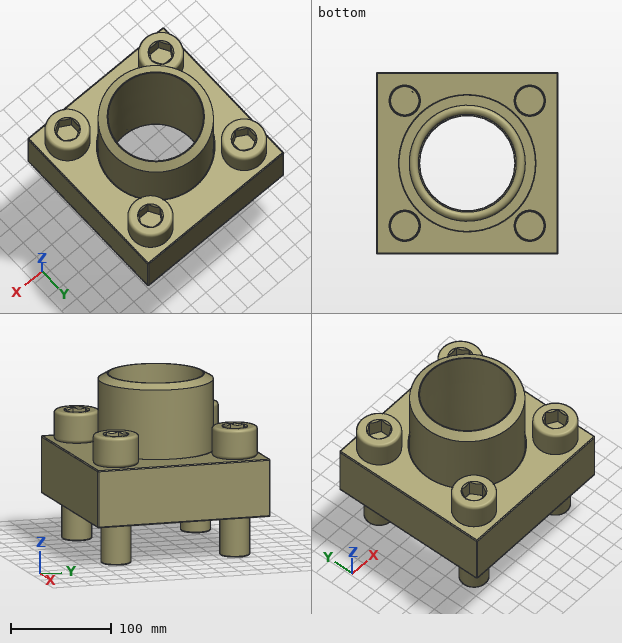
import cadquery as cq
import math

flange_side = 180.0
flange_height = 58.0
edge_chamfer = 1.0

pipe_diameter = 114.3
pipe_rise = 75.0
pipe_bore = 94.3
straight_bore_depth = 37.5
lower_bore_diameter = 94.5
bevel_height = 5.2
bevel_width = 9.0
collar_diameter = 135.0
collar_projection = 1.5
collar_top = 28.8

ring_middle_diameter = 106.0
ring_thickness = 9.0
ring_projection = 2.0

neck_hole_diameter = 115.5
counterbore_diameter = 136.0
screw_hole_diameter = 31.0

screw_count = 4
screw_offset = 62.0
shank_diameter = 30.0
shank_length = 99.9
head_diameter = 45.0
head_height = 30.0
head_fillet = 3.0
socket_diameter = 25.4
socket_depth = 18.0

pipe_top = flange_height + pipe_rise
collar_bottom = -collar_projection
groove_depth = ring_thickness - ring_projection
socket_flat_radius = socket_diameter / 2 * math.cos(math.pi / 6)
countersink_depth = socket_diameter / 2 - socket_flat_radius


def cylinder(diameter, bottom, top):
    return cq.Workplane("XY", origin=(0, 0, bottom)).circle(diameter / 2).extrude(top - bottom)


def cone(bottom_radius, top_radius, bottom, top):
    return cq.Workplane(cq.Solid.makeCone(bottom_radius, top_radius, top - bottom, pnt=(0, 0, bottom)))


def make_flange():
    block = cq.Workplane("XY").box(flange_side, flange_side, flange_height, centered=(True, True, False))
    block = block.edges().chamfer(edge_chamfer)

    neck_radius = neck_hole_diameter / 2
    neck_hole = cylinder(neck_hole_diameter, 0, flange_height)
    counterbore = cylinder(counterbore_diameter, 0, collar_top)
    hole_chamfer = cone(neck_radius, neck_radius + edge_chamfer, flange_height - edge_chamfer, flange_height)

    screw_holes = (
        cq.Workplane("XY")
        .rect(2 * screw_offset, 2 * screw_offset, forConstruction=True)
        .vertices()
        .circle(screw_hole_diameter / 2)
        .extrude(flange_height)
    )
    return block.cut(neck_hole).cut(counterbore).cut(hole_chamfer).cut(screw_holes)


def make_pipe():
    outer_radius = pipe_diameter / 2
    bore_radius = pipe_bore / 2
    collar_radius = collar_diameter / 2
    half_section = [
        (lower_bore_diameter / 2, collar_bottom),
        (collar_radius, collar_bottom),
        (collar_radius, collar_top),
        (outer_radius, collar_top),
        (outer_radius, pipe_top - bevel_height),
        (outer_radius - bevel_width, pipe_top),
        (bore_radius, pipe_top),
        (bore_radius, pipe_top - straight_bore_depth),
    ]
    pipe = cq.Workplane("XZ").polyline(half_section).close().revolve(360, (0, 0, 0), (0, 1, 0))

    groove = (
        cq.Workplane("XY", origin=(0, 0, collar_bottom))
        .circle((ring_middle_diameter + ring_thickness) / 2)
        .circle((ring_middle_diameter - ring_thickness) / 2)
        .extrude(groove_depth)
    )
    return pipe.cut(groove)


def make_ring():
    center_height = collar_bottom + groove_depth - ring_thickness / 2
    ring = cq.Solid.makeTorus(ring_middle_diameter / 2, ring_thickness / 2)
    return cq.Workplane(ring).translate((0, 0, center_height))


def make_screw():
    shank = cylinder(shank_diameter, -shank_length, 0).faces("<Z").chamfer(edge_chamfer)
    head = cylinder(head_diameter, 0, head_height).edges().fillet(head_fillet)

    socket = (
        cq.Workplane("XY", origin=(0, 0, head_height))
        .polygon(6, socket_diameter)
        .extrude(-socket_depth)
    )
    countersink = cone(socket_flat_radius, socket_diameter / 2, head_height - countersink_depth, head_height)
    return shank.union(head.cut(socket).cut(countersink))


flange = make_flange()
pipe = make_pipe()
ring = make_ring()

corner_screw = make_screw().translate((-screw_offset, -screw_offset, flange_height))
screws = []
for index in range(screw_count):
    turn = index * 360 / screw_count
    screws.append(corner_screw.rotate((0, 0, 0), (0, 0, 1), turn))

result = cq.Compound.makeCompound(
    [flange.val(), pipe.val(), ring.val(), *[screw.val() for screw in screws]]
)